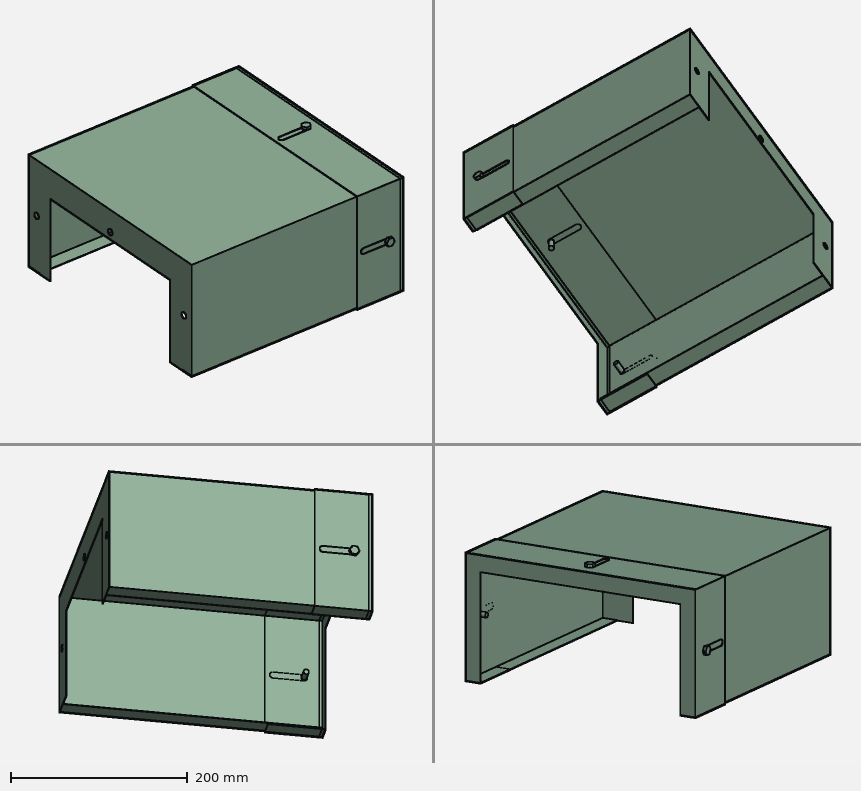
import cadquery as cq
import math


TOTAL_WIDTH = 311.0
TOTAL_LENGTH = 304.0
TOTAL_HEIGHT = 155.5
SHEET = 0.8

BOLT_DIAMETER = 6.2
BOLT_REACH = 15.5
HEAD_SIDES = 6
HEAD_FLATS = 10.0
HEAD_HEIGHT = 4.0
BOLT_BACK_INSET = 21.8
SIDE_BOLT_DROP = 0.78
RIGHT_BOLT_TURN = -7

SLEEVE_WIDTH = TOTAL_WIDTH - 2 * HEAD_HEIGHT
SLEEVE_HEIGHT = TOTAL_HEIGHT - HEAD_HEIGHT
SLEEVE_LENGTH = 67.0
SLEEVE_LIP = 20.2
SLOT_WIDTH = 7.8
SLOT_TRAVEL = 35.5

SIDE_GAP = 0.5
BACK_GAP = 3.5
COVER_WIDTH = SLEEVE_WIDTH - 2 * (SHEET + SIDE_GAP)
COVER_HEIGHT = SLEEVE_HEIGHT - 2 * SHEET
COVER_LENGTH = TOTAL_LENGTH - SHEET - BACK_GAP
COVER_TOP = SHEET + COVER_HEIGHT
COVER_LIP = 20.0
FRONT_FRAME = 40.0
FRONT_HOLE_DIAMETER = 8.0
SIDE_HOLE_INSET = 15.0
TOP_HOLE_DROP = 30.2

MID_HEIGHT = SLEEVE_HEIGHT / 2
BOLT_Y = TOTAL_LENGTH - BOLT_BACK_INSET
SIDE_BOLT_Z = MID_HEIGHT - SIDE_BOLT_DROP

BOLT_SEATS = [
    ((0, BOLT_Y, SLEEVE_HEIGHT), (0, 0, 1), 0),
    ((-SLEEVE_WIDTH / 2, BOLT_Y, SIDE_BOLT_Z), (-1, 0, 0), 0),
    ((SLEEVE_WIDTH / 2, BOLT_Y, SIDE_BOLT_Z), (1, 0, 0), RIGHT_BOLT_TURN),
]


def block(width, y_start, y_end, z_start, z_end):
    """Box centred on X between the given Y and Z limits."""
    size = (width, y_end - y_start, z_end - z_start)
    return cq.Workplane("XY").box(*size, centered=(True, False, False)).translate((0, y_start, z_start))


def channel(width, height, lip, y_start, y_end, z_start):
    """Folded sheet along Y: a top, two sides and two inward bottom lips."""
    z_end = z_start + height
    outside = block(width, y_start, y_end, z_start, z_end)
    inside = block(width - 2 * SHEET, y_start, y_end, z_start + SHEET, z_end - SHEET)
    bottom_gap = block(width - 2 * lip, y_start, y_end, z_start, z_start + SHEET)
    return outside.cut(inside).cut(bottom_gap)


def end_frame(width, height, rim, y_start, z_start):
    """Upside-down U plate of one sheet thickness, open at the bottom."""
    y_end = y_start + SHEET
    plate = block(width, y_start, y_end, z_start, z_start + height)
    opening = block(width - 2 * rim, y_start, y_end, z_start, z_start + height - rim)
    return plate.cut(opening)


def seat_plane(seat, outward, turn=0):
    """Workplane on a bolt seat, with local x along Y before the turn."""
    plane = cq.Plane(origin=seat, xDir=(0, 1, 0), normal=outward)
    return cq.Workplane(plane.rotated((0, 0, turn)))


def make_cover():
    cover = channel(COVER_WIDTH, COVER_HEIGHT, COVER_LIP, 0, COVER_LENGTH, SHEET)
    cover = cover.union(end_frame(COVER_WIDTH, COVER_HEIGHT, FRONT_FRAME, 0, SHEET))

    side_hole_x = COVER_WIDTH / 2 - SIDE_HOLE_INSET
    hole_places = [
        (-side_hole_x, MID_HEIGHT),
        (side_hole_x, MID_HEIGHT),
        (0, COVER_TOP - TOP_HOLE_DROP),
    ]
    front_holes = cq.Workplane("XZ").pushPoints(hole_places).circle(FRONT_HOLE_DIAMETER / 2).extrude(-SHEET)
    cover = cover.cut(front_holes)

    bore_depth = 2 * SHEET + SIDE_GAP
    for seat, outward, _ in BOLT_SEATS:
        cover = cover.cut(seat_plane(seat, outward).circle(BOLT_DIAMETER / 2).extrude(-bore_depth))
    return cover


def make_sleeve():
    front = TOTAL_LENGTH - SLEEVE_LENGTH
    sleeve = channel(SLEEVE_WIDTH, SLEEVE_HEIGHT, SLEEVE_LIP, front, TOTAL_LENGTH, 0)
    sleeve = sleeve.union(end_frame(SLEEVE_WIDTH, SLEEVE_HEIGHT, SLEEVE_LIP, TOTAL_LENGTH - SHEET, 0))

    for seat, outward, _ in BOLT_SEATS:
        slot = (
            seat_plane(seat, outward)
            .center(-SLOT_TRAVEL / 2, 0)
            .slot2D(SLOT_TRAVEL + SLOT_WIDTH, SLOT_WIDTH)
            .extrude(-SHEET)
        )
        sleeve = sleeve.cut(slot)
    return sleeve


def make_bolt(seat, outward, turn):
    corner_diameter = HEAD_FLATS / math.cos(math.pi / HEAD_SIDES)
    head = seat_plane(seat, outward, turn).polygon(HEAD_SIDES, corner_diameter).extrude(HEAD_HEIGHT)
    shank = seat_plane(seat, outward).circle(BOLT_DIAMETER / 2).extrude(-BOLT_REACH)
    return head.union(shank)


cover = make_cover()
sleeve = make_sleeve()
bolts = [make_bolt(*seat) for seat in BOLT_SEATS]

result = cq.Compound.makeCompound([cover.val(), sleeve.val(), *[bolt.val() for bolt in bolts]])